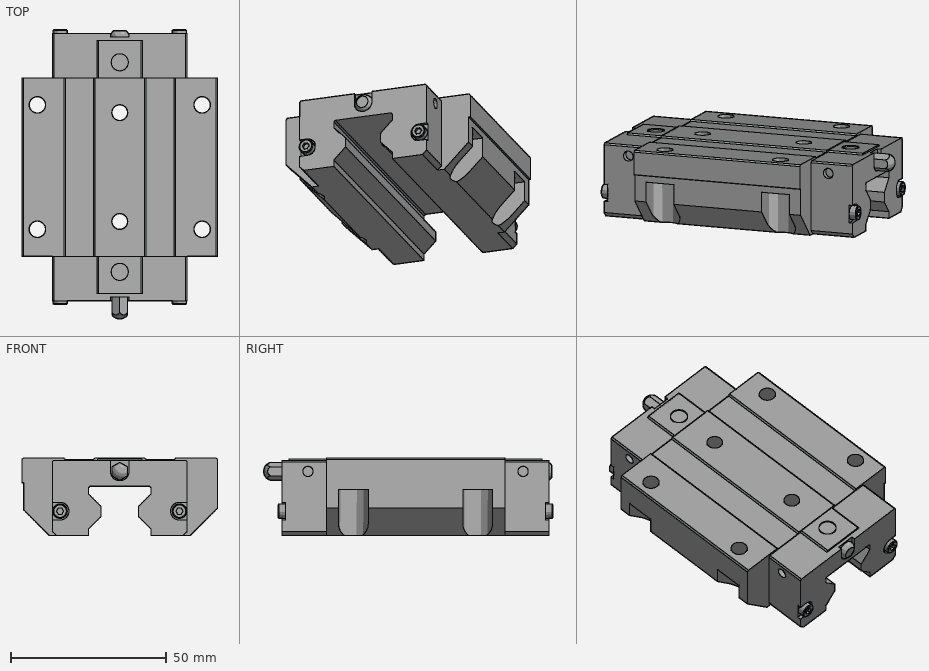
import cadquery as cq

block_width = 63.0
block_length = 57.4
block_height = 25.0
block_bottom_width = 45.2
block_edge_chamfer = 0.5
relief_depth = 0.6
reference_face_z = 17.0

groove_outer_x = 18.0
groove_inner_x = 8.0
groove_depth = 0.5

channel_half_width = 10.0
channel_throat_half_width = 6.0
channel_roof_z = 15.9
channel_roof_chamfer = 0.5
throat_bottom_z = 6.2
throat_top_z = 9.4

flange_hole_diameter = 5.2
flange_hole_x = 26.5
flange_hole_y = 20.0
center_hole_diameter = 5.0
center_hole_y = 17.5
pocket_width = 9.6
pocket_roof_z = 14.8

cap_width = 43.4
cap_height = 24.25
cap_end_y = 43.0
cap_top_chamfer = 0.5
cap_bottom_chamfer = 1.4
end_plate_thickness = 2.3
pad_width = 14.7
pad_height = 0.5
pad_recess_diameter = 5.5
pad_recess_depth = 0.4
pad_recess_y = 33.7
side_hole_diameter = 3.3
side_hole_depth = 2.0
side_hole_y = 34.6
end_slot_depth = 1.2

port_z = 20.7
port_slot_width = 6.0
nipple_tip_y = 48.89
nipple_across_flats = 5.0
nipple_dome_radius = 3.0
plug_shoulder_radius = 2.65
plug_shoulder_height = 1.4
plug_face_radius = 1.95
plug_height = 2.05

screw_x = 19.2
screw_z = 7.9
screw_slot_width = 5.7
screw_head_diameter = 4.65
screw_head_end_y = 44.2
screw_head_chamfer = 0.3
socket_across_corners = 2.3
socket_depth = 1.0

slot_floor_y = cap_end_y - end_slot_depth
cos_30 = 3 ** 0.5 / 2


def extrude_along_y(profile, start_y, end_y):
    """Extrude an XZ profile between two Y positions."""
    return profile.extrude(start_y - end_y).translate((0, start_y, 0))


def xz_polygon(points):
    return cq.Workplane("XZ").polyline(points).close()


def y_cylinder(x, z, radius, start_y, end_y):
    circle = cq.Workplane("XZ").center(x, z).circle(radius)
    return extrude_along_y(circle, start_y, end_y)


def z_cylinder(x, y, diameter, start_z, end_z):
    circle = cq.Workplane("XY").workplane(offset=start_z).center(x, y).circle(diameter / 2)
    return circle.extrude(end_z - start_z)


def make_groove(side):
    floor_z = block_height - groove_depth
    points = [
        (side * groove_outer_x, block_height),
        (side * (groove_outer_x - groove_depth), floor_z),
        (side * (groove_inner_x + groove_depth), floor_z),
        (side * groove_inner_x, block_height),
    ]
    return extrude_along_y(xz_polygon(points), -block_length / 2, block_length / 2)


def make_block():
    half_width = block_width / 2
    half_bottom = block_bottom_width / 2
    shoulder_x = half_width - block_edge_chamfer
    shoulder_z = block_height - block_edge_chamfer
    relief_x = half_width - relief_depth
    points = [
        (-half_bottom, 0),
        (half_bottom, 0),
        (half_width, half_width - half_bottom),
        (half_width, shoulder_z),
        (shoulder_x, block_height),
        (-shoulder_x, block_height),
        (-half_width, shoulder_z),
        (-half_width, reference_face_z),
        (-relief_x, reference_face_z),
        (-relief_x, relief_x - half_bottom),
    ]
    block = extrude_along_y(xz_polygon(points), -block_length / 2, block_length / 2)
    for side in (-1, 1):
        block = block.cut(make_groove(side))
    return block


def make_flange_hole(side, y):
    """Through hole with a round-ended pocket below it, open to the outside of the flange."""
    x = side * flange_hole_x
    hole = z_cylinder(x, y, flange_hole_diameter, 0, block_height)
    pocket = z_cylinder(x, y, pocket_width, 0, pocket_roof_z)
    opening = (
        cq.Workplane("XY")
        .center(x + side * pocket_width / 2, y)
        .rect(pocket_width, pocket_width)
        .extrude(pocket_roof_z)
    )
    return hole.union(pocket).union(opening)


def make_cap(end):
    """End cap on the side of the block given by end (-1 or 1), with a raised top pad."""
    half_width = cap_width / 2
    inner_y = end * block_length / 2
    points = [
        (-half_width + cap_bottom_chamfer, 0),
        (half_width - cap_bottom_chamfer, 0),
        (half_width, cap_bottom_chamfer),
        (half_width, cap_height - cap_top_chamfer),
        (half_width - cap_top_chamfer, cap_height),
        (-half_width + cap_top_chamfer, cap_height),
        (-half_width, cap_height - cap_top_chamfer),
        (-half_width, cap_bottom_chamfer),
    ]
    cap = extrude_along_y(xz_polygon(points), inner_y, end * cap_end_y)

    half_pad = pad_width / 2
    pad_top_z = cap_height + pad_height
    pad_points = [
        (-half_pad, cap_height),
        (half_pad, cap_height),
        (half_pad - pad_height, pad_top_z),
        (-half_pad + pad_height, pad_top_z),
    ]
    pad_end_y = end * (cap_end_y - end_plate_thickness)
    cap = cap.union(extrude_along_y(xz_polygon(pad_points), inner_y, pad_end_y))

    recess_floor_z = pad_top_z - pad_recess_depth
    cap = cap.cut(z_cylinder(0, end * pad_recess_y, pad_recess_diameter, recess_floor_z, pad_top_z))
    for side in (-1, 1):
        side_hole = (
            cq.Workplane("YZ")
            .workplane(offset=side * half_width)
            .center(end * side_hole_y, port_z)
            .circle(side_hole_diameter / 2)
            .extrude(-side * side_hole_depth)
        )
        cap = cap.cut(side_hole)
        cap = cap.cut(make_screw_slot(side, end))
    return cap.cut(make_port_slot(end))


def make_port_slot(end):
    """Recess with a round bottom, open at the top of the end cap."""
    start_y = end * slot_floor_y
    end_y = end * cap_end_y
    slot_top = cap_height - port_z
    upper = cq.Workplane("XZ").center(0, port_z + slot_top / 2).rect(port_slot_width, slot_top)
    lower = y_cylinder(0, port_z, port_slot_width / 2, start_y, end_y)
    return extrude_along_y(upper, start_y, end_y).union(lower)


def make_screw_slot(side, end):
    """Recess with a round inner end, open at the side of the end cap."""
    start_y = end * slot_floor_y
    end_y = end * cap_end_y
    reach = cap_width / 2 - screw_x
    outer = cq.Workplane("XZ").center(side * (screw_x + reach / 2), screw_z).rect(reach, screw_slot_width)
    inner = y_cylinder(side * screw_x, screw_z, screw_slot_width / 2, start_y, end_y)
    return extrude_along_y(outer, start_y, end_y).union(inner)


def make_screw_head(side, end):
    x = side * screw_x
    outer_y = end * screw_head_end_y
    outer_face = ">Y" if end > 0 else "<Y"
    head = y_cylinder(x, screw_z, screw_head_diameter / 2, end * slot_floor_y, outer_y)
    head = head.faces(outer_face).chamfer(screw_head_chamfer)
    socket = cq.Workplane("XZ").center(x, screw_z).polygon(6, socket_across_corners)
    return head.cut(extrude_along_y(socket, outer_y - end * socket_depth, outer_y))


def make_nipple():
    """Hexagonal grease nipple with a ball-shaped tip at the -Y end."""
    across_corners = nipple_across_flats / cos_30
    hexagon = (
        cq.Workplane("XZ")
        .transformed(offset=(0, port_z, 0), rotate=(0, 0, 90))
        .polygon(6, across_corners)
    )
    body = extrude_along_y(hexagon, -slot_floor_y, -nipple_tip_y)
    dome_y = -nipple_tip_y + nipple_dome_radius
    ball = cq.Workplane("XY").sphere(nipple_dome_radius).translate((0, dome_y, port_z))
    shank = y_cylinder(0, port_z, nipple_dome_radius, -slot_floor_y, dome_y)
    return body.intersect(shank.union(ball))


def make_plug():
    """Domed plug with a flat face that closes the port at the +Y end."""
    plug = (
        cq.Workplane("XY")
        .lineTo(port_slot_width / 2, 0)
        .threePointArc((plug_shoulder_radius, plug_shoulder_height), (plug_face_radius, plug_height))
        .lineTo(0, plug_height)
        .close()
        .revolve(360, (0, 0, 0), (0, 1, 0))
    )
    return plug.translate((0, slot_floor_y, port_z))


def make_rail_channel():
    flare = channel_half_width - channel_throat_half_width
    right_side = [
        (channel_half_width, 0),
        (channel_half_width, throat_bottom_z - flare),
        (channel_throat_half_width, throat_bottom_z),
        (channel_throat_half_width, throat_top_z),
        (channel_half_width, throat_top_z + flare),
        (channel_half_width, channel_roof_z - channel_roof_chamfer),
        (channel_half_width - channel_roof_chamfer, channel_roof_z),
    ]
    left_side = [(-x, z) for x, z in reversed(right_side)]
    return extrude_along_y(xz_polygon(right_side + left_side), -cap_end_y, cap_end_y)


result = make_block()
for end in (-1, 1):
    result = result.union(make_cap(end))
result = result.cut(make_rail_channel())

for end in (-1, 1):
    result = result.cut(z_cylinder(0, end * center_hole_y, center_hole_diameter, 0, block_height))
    for side in (-1, 1):
        result = result.cut(make_flange_hole(side, end * flange_hole_y))
        result = result.union(make_screw_head(side, end))

result = result.union(make_nipple()).union(make_plug())